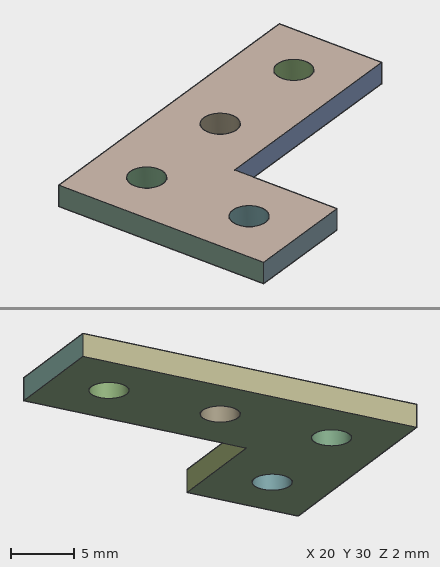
import cadquery as cq

length = 30.0
cells_along_y = 3
cells_along_x = 2
pitch = length / cells_along_y
width = cells_along_x * pitch
thickness = pitch / 5
hole_diameter = 3.18

outline = [
    (0, 0),
    (width, 0),
    (width, pitch),
    (pitch, pitch),
    (pitch, length),
    (0, length),
]
plate = cq.Workplane("XY").polyline(outline).close().extrude(thickness)

long_leg_holes = [(pitch / 2, (row + 0.5) * pitch) for row in range(cells_along_y)]
short_leg_holes = [((column + 0.5) * pitch, pitch / 2) for column in range(1, cells_along_x)]
holes = (
    cq.Workplane("XY")
    .pushPoints(long_leg_holes + short_leg_holes)
    .circle(hole_diameter / 2)
    .extrude(thickness)
)

result = plate.cut(holes)